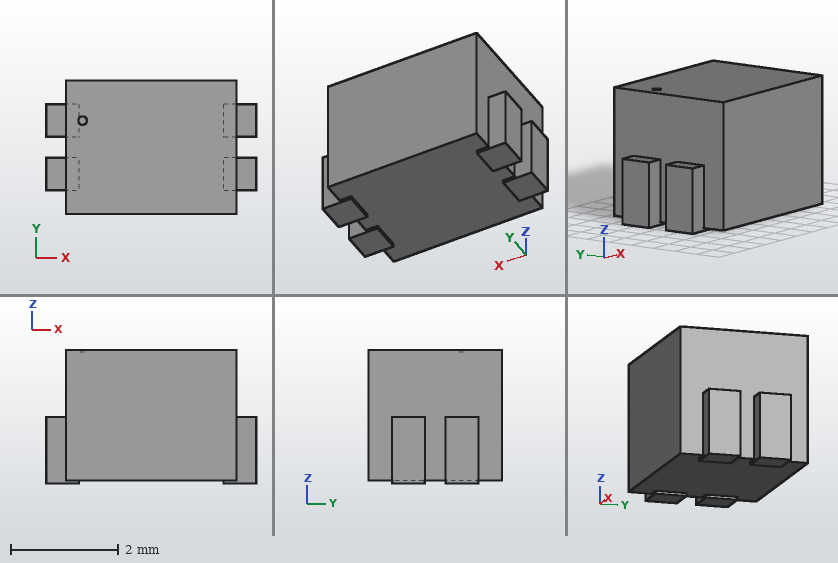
import cadquery as cq

overall_length = 3.91
overall_height = 2.49

housing_length = 3.183
housing_width = 2.49
standoff = 0.055

terminal_width = 0.61
terminal_height = 1.245
foot_length = 0.61
terminal_pitch = 0.995
terminal_thickness = (overall_length - housing_length) / 2

marker_diameter = 0.16
marker_depth = 0.04
marker_x = -1.28
marker_y = terminal_pitch / 2


def make_marker():
    """Thin disc whose upper face is level with the housing top."""
    return (
        cq.Workplane("XY", origin=(marker_x, marker_y, overall_height - marker_depth))
        .circle(marker_diameter / 2)
        .extrude(marker_depth)
    )


def make_housing(marker):
    """Plain block raised by the standoff, with a recess for the marker."""
    block = cq.Workplane("XY", origin=(0, 0, standoff)).rect(housing_length, housing_width)
    return block.extrude(overall_height - standoff).cut(marker)


def make_terminal(side, center_y):
    """L-shaped terminal at one end: side is -1 for the -X end, +1 for the +X end."""
    outer_x = side * overall_length / 2
    wall_x = outer_x - side * terminal_thickness
    foot_x = outer_x - side * foot_length
    profile = [
        (outer_x, 0),
        (outer_x, terminal_height),
        (wall_x, terminal_height),
        (wall_x, standoff),
        (foot_x, standoff),
        (foot_x, 0),
    ]
    return (
        cq.Workplane("XZ", origin=(0, center_y, 0))
        .polyline(profile)
        .close()
        .extrude(terminal_width / 2, both=True)
    )


marker = make_marker()
housing = make_housing(marker)
terminals = [
    make_terminal(side, row * terminal_pitch / 2)
    for side in (-1, 1)
    for row in (-1, 1)
]

result = cq.Compound.makeCompound(
    [housing.val(), marker.val(), *[terminal.val() for terminal in terminals]]
)